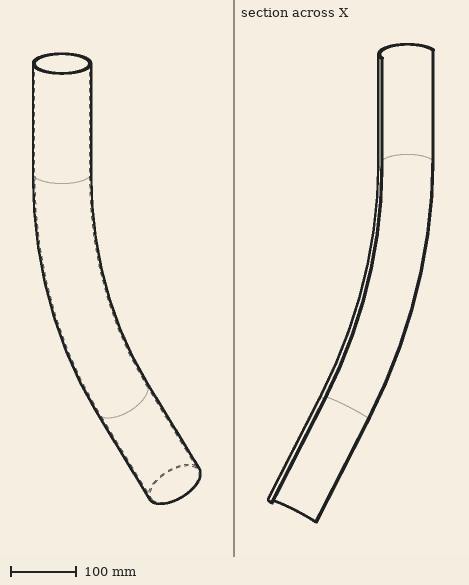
import cadquery as cq
import math

outer_diameter = 89.0
inner_diameter = 83.0
height = 735.0
leg_length = 178.0
bend_angle = 30.0

angle = math.radians(bend_angle)
outer_radius = outer_diameter / 2
legs_height = leg_length * (1 + math.cos(angle))
end_rim_height = outer_radius * math.sin(angle)
bend_radius = (height - legs_height - end_rim_height) / math.sin(angle)


def point_on_bend(turn):
    """Centreline point (Y, Z) after turning by an angle below the upper leg."""
    return bend_radius * (1 - math.cos(turn)), -bend_radius * math.sin(turn)


bend_end_y, bend_end_z = point_on_bend(angle)
lower_end = (
    bend_end_y + leg_length * math.sin(angle),
    bend_end_z - leg_length * math.cos(angle),
)
centreline = (
    cq.Workplane("YZ")
    .moveTo(0, leg_length)
    .lineTo(0, 0)
    .threePointArc(point_on_bend(angle / 2), (bend_end_y, bend_end_z))
    .lineTo(*lower_end)
)

result = (
    cq.Workplane("XY", origin=(0, 0, leg_length))
    .circle(outer_radius)
    .circle(inner_diameter / 2)
    .sweep(centreline)
)